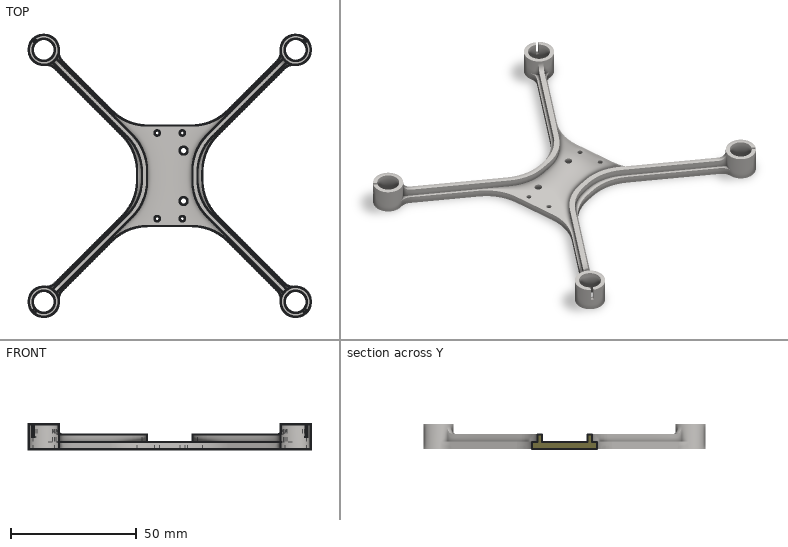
import cadquery as cq
import math

ring_offset = 50.0
ring_diameter = 12.0
bore_diameter = 8.7
ring_height = 10.0
slot_width = 1.0
slot_depth = 5.0

plate_thickness = 3.0
plate_half_length = 20.0
waist_half_width = 13.0
arm_width = 4.0
bend_radius = 20.0
ring_blend_radius = 5.0

rib_width = 2.0
rib_top = 6.0
rib_inner_half_gap = 9.0
rib_blend_radius = 3.0

small_hole_diameter = 2.0
small_hole_x = 5.0
small_hole_y = 17.0
large_hole_diameter = 3.0
large_hole_x = 5.5
large_hole_y = 10.0

ring_radius = ring_diameter / 2
arm_angles = (45, 135, 225, 315)
ring_centres = [(sx * ring_offset, sy * ring_offset) for sx in (-1, 1) for sy in (-1, 1)]


def diagonal_shift(width):
    """Shift along X or Y from a 45 degree centreline to the side of a strip."""
    return width / 2 * math.sqrt(2)


def body_outline():
    """Plan outline of the plate and its arms, with the ends inside the rings."""
    shift = diagonal_shift(arm_width)
    corner = shift / 2
    tip = ring_offset
    quarter = [
        (waist_half_width, waist_half_width - shift),
        (tip + corner, tip - corner),
        (tip - corner, tip + corner),
        (plate_half_length - shift, plate_half_length),
    ]
    mirrored = [(-x, y) for x, y in reversed(quarter)]
    opposite = [(-x, -y) for x, y in quarter + mirrored]
    return cq.Workplane("XY").polyline(quarter + mirrored + opposite).close()


def central_bends(solid, reach):
    """Round the upright edges lying within reach of the Z axis along X and Y."""
    central = cq.selectors.BoxSelector((-reach, -reach, 0), (reach, reach, ring_height))
    return solid.edges("|Z").edges(central).fillet(bend_radius)


def make_plate():
    """The flat plate and arms, with every bend at the body rounded."""
    return central_bends(body_outline().extrude(plate_thickness), ring_offset / 2)


def make_ring_blend():
    """Web that rounds both plan corners between an arm and its ring, with the ring at the origin."""
    centre_distance = ring_radius + ring_blend_radius
    centre_y = arm_width / 2 + ring_blend_radius
    centre_x = math.sqrt(centre_distance ** 2 - centre_y ** 2)
    touch_x = centre_x * ring_radius / centre_distance
    touch_y = centre_y * ring_radius / centre_distance
    upper = [(touch_x, touch_y), (centre_x, centre_y)]
    lower = [(x, -y) for x, y in reversed(upper)]
    web = cq.Workplane("XY").polyline([(0, 0)] + upper + lower).close().extrude(plate_thickness)
    rounds = (
        cq.Workplane("XY")
        .pushPoints([(centre_x, centre_y), (centre_x, -centre_y)])
        .circle(ring_blend_radius)
        .extrude(plate_thickness)
    )
    return web.cut(rounds)


def make_rib():
    """The rib on the +X side: along one arm, around the waist, out along the next arm."""
    shift = diagonal_shift(rib_width)
    corner = shift / 2
    inner = rib_inner_half_gap
    outer = inner + rib_width
    tip = ring_offset
    upper = [
        (outer, outer - shift),
        (tip + corner, tip - corner),
        (tip - corner, tip + corner),
        (inner, inner + shift),
    ]
    lower = [(x, -y) for x, y in reversed(upper)]
    rib = cq.Workplane("XY").polyline(upper + lower).close().extrude(rib_top)
    return central_bends(rib, ring_offset / 2)


def make_rib_blend():
    """Concave sweep from the rib top up the ring wall, with the ring at the origin and the rib along +X.

    The sweep follows the round wall: a turned collar, trimmed to the width of the rib.
    """
    start = ring_radius + rib_blend_radius
    peak = rib_top + rib_blend_radius
    drop = rib_blend_radius * math.sqrt(0.5)
    collar = (
        cq.Workplane("XZ")
        .moveTo(0, plate_thickness)
        .lineTo(start, plate_thickness)
        .lineTo(start, rib_top)
        .threePointArc((start - drop, peak - drop), (ring_radius, peak))
        .lineTo(0, peak)
        .close()
        .revolve(360, (0, 0), (0, 1))
    )
    strip = cq.Workplane("XY").box(start, rib_width, peak, centered=(False, True, False))
    return collar.intersect(strip)


def at_each_ring(shape):
    """Copies of a shape at the four rings, its +X direction turned toward the part centre."""
    placed = shape.translate((-ring_offset * math.sqrt(2), 0, 0))
    copies = cq.Workplane("XY")
    for angle in arm_angles:
        copies = copies.add(placed.rotate((0, 0, 0), (0, 0, 1), angle))
    return copies


def make_slot():
    """Cutter for the slot in the outward wall, with the ring at the origin."""
    cutter = cq.Workplane("XY").box(ring_radius, slot_width, slot_depth, centered=(False, True, False))
    return cutter.translate((-ring_radius, 0, ring_height - slot_depth))


def make_screw_holes():
    """Cutters for the four small holes and the two large ones."""
    small = [(sx * small_hole_x, sy * small_hole_y) for sx in (-1, 1) for sy in (-1, 1)]
    large = [(large_hole_x, sy * large_hole_y) for sy in (-1, 1)]
    small_cut = cq.Workplane("XY").pushPoints(small).circle(small_hole_diameter / 2).extrude(plate_thickness)
    large_cut = cq.Workplane("XY").pushPoints(large).circle(large_hole_diameter / 2).extrude(plate_thickness)
    return small_cut.union(large_cut)


rib = make_rib()
rings = cq.Workplane("XY").pushPoints(ring_centres).circle(ring_radius).extrude(ring_height)
bores = cq.Workplane("XY").pushPoints(ring_centres).circle(bore_diameter / 2).extrude(ring_height)

body = make_plate().union(rib).union(rib.mirror("YZ")).union(rings)
for addition in (make_ring_blend(), make_rib_blend()):
    for piece in at_each_ring(addition).vals():
        body = body.union(cq.Workplane(piece))
for piece in at_each_ring(make_slot()).vals():
    body = body.cut(cq.Workplane(piece))

result = body.cut(bores).cut(make_screw_holes())